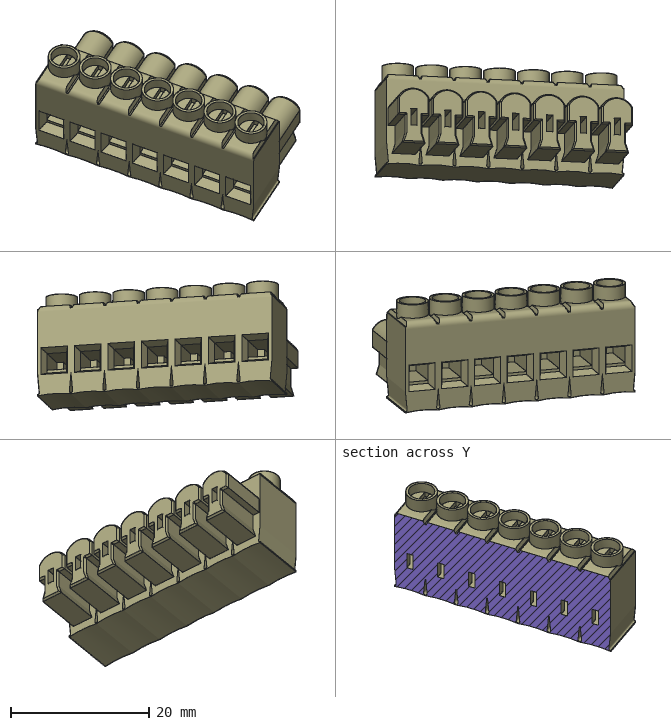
import cadquery as cq
import math

PITCH = 5.0
POLES = 7
LENGTH = POLES * PITCH
BODY_DEPTH = 8.5
BODY_TOP = 13.5
TOP_FILLET = 1.0

TOP_GROOVE_FLOOR = 12.87
TOP_GROOVE_FLOOR_HALF = 0.12
TOP_GROOVE_MOUTH_HALF = 0.4
SLIT_TOP = 3.15
SLIT_HALF = 0.25
LIP_TOP = 0.45
LIP_BOTTOM = LIP_TOP - SLIT_HALF
UNDERSIDE_ARCH = 0.2

SCREW_Y = BODY_DEPTH / 2
SCREW_TOP = 15.5
SCREW_DIA = 4.6
SCREW_BORE = 3.8
SCREW_HEAD_DIA = 3.65
SCREW_BORE_DEPTH = 1.5
SCREW_HEAD_Z = SCREW_TOP - SCREW_BORE_DEPTH
SCREW_SLOT_WIDTH = 0.8
SCREW_SLOT_LENGTH = SCREW_HEAD_DIA
SCREW_SLOT_DEPTH = 0.8

ENTRY_SIZE = 4.0
ENTRY_INSET = 0.55
ENTRY_THROAT = ENTRY_SIZE - 2 * ENTRY_INSET
ENTRY_DEPTH = 1.5
ENTRY_BOTTOM = SLIT_TOP
ENTRY_Z = ENTRY_BOTTOM + ENTRY_SIZE / 2
CLAMP_TOP = ENTRY_Z + ENTRY_THROAT / 2
CLAMP_BACK = 7.0
CLAMP_FLOOR = 4.13
CONTACT_SLOT_WIDTH = 0.93

PLUG_LENGTH = 7.5
PLUG_WIDTH = 4.6
PLUG_BOTTOM = 1.6
PLUG_TOP = 9.7
PLUG_SHOULDER = 8.27
PLUG_UNDERCUT = 5.73
PLUG_FLARE = 3.03
PLUG_NECK_INSET = 1.05
PLUG_KEEL_INSET = 0.6
PLUG_TIP_LENGTH = 0.35
PLUG_TIP_INSET = 0.2

CUT_MARGIN = 1.0


def pole_center(index):
    return (index + 0.5) * PITCH


def across_body(outline):
    """Extrude an XZ outline over the full depth of the body."""
    return outline.extrude(-BODY_DEPTH)


def body_block():
    block = cq.Workplane("XY").box(LENGTH, BODY_DEPTH, BODY_TOP, centered=False)
    return block.edges("|X and >Z").fillet(TOP_FILLET)


def top_groove(x):
    outline = (
        cq.Workplane("XZ")
        .moveTo(x - TOP_GROOVE_FLOOR_HALF, TOP_GROOVE_FLOOR)
        .lineTo(x + TOP_GROOVE_FLOOR_HALF, TOP_GROOVE_FLOOR)
        .lineTo(x + TOP_GROOVE_MOUTH_HALF, BODY_TOP)
        .lineTo(x - TOP_GROOVE_MOUTH_HALF, BODY_TOP)
        .close()
    )
    return across_body(outline)


def bottom_slit(x):
    """Narrow wedge between poles that closes again in a concave foot lip."""
    arc_offset = SLIT_HALF * (1 - math.sqrt(0.5))
    arc_height = LIP_BOTTOM + arc_offset
    arc_half = SLIT_HALF * math.sqrt(0.5)
    outline = (
        cq.Workplane("XZ")
        .moveTo(x, SLIT_TOP)
        .lineTo(x + SLIT_HALF, LIP_TOP)
        .threePointArc((x + arc_half, arc_height), (x, LIP_BOTTOM))
        .threePointArc((x - arc_half, arc_height), (x - SLIT_HALF, LIP_TOP))
        .close()
    )
    return across_body(outline)


def underside_arch(x):
    """Shallow arch under one pole, leaving a foot at each pole boundary."""
    outline = (
        cq.Workplane("XZ")
        .moveTo(x - PITCH / 2, 0)
        .threePointArc((x, UNDERSIDE_ARCH), (x + PITCH / 2, 0))
        .close()
    )
    return across_body(outline)


def wire_entry(x):
    """Funnel, clamp chamber behind it and contact slot through the plug."""
    funnel = (
        cq.Workplane("XZ", origin=(x, 0, ENTRY_Z))
        .rect(ENTRY_SIZE, ENTRY_SIZE)
        .workplane(offset=-ENTRY_DEPTH)
        .rect(ENTRY_THROAT, ENTRY_THROAT)
        .loft(combine=True)
    )
    opening_height = CLAMP_TOP - CLAMP_FLOOR
    opening_z = (CLAMP_TOP + CLAMP_FLOOR) / 2
    throat_plane = cq.Workplane("XZ", origin=(x, ENTRY_DEPTH, opening_z))
    chamber = throat_plane.rect(ENTRY_THROAT, opening_height).extrude(ENTRY_DEPTH - CLAMP_BACK)
    slot_length = BODY_DEPTH + PLUG_LENGTH - ENTRY_DEPTH + CUT_MARGIN
    slot = throat_plane.rect(CONTACT_SLOT_WIDTH, opening_height).extrude(-slot_length)
    return funnel.union(chamber).union(slot)


def plug_outline(x, y):
    half = PLUG_WIDTH / 2
    neck = half - PLUG_NECK_INSET
    keel = half - PLUG_KEEL_INSET
    return (
        cq.Workplane("XZ", origin=(x, y, 0))
        .moveTo(-half, PLUG_SHOULDER)
        .threePointArc((0, PLUG_TOP), (half, PLUG_SHOULDER))
        .lineTo(half, PLUG_UNDERCUT)
        .lineTo(neck, PLUG_UNDERCUT)
        .lineTo(neck, PLUG_FLARE)
        .lineTo(keel, PLUG_BOTTOM)
        .lineTo(-keel, PLUG_BOTTOM)
        .lineTo(-neck, PLUG_FLARE)
        .lineTo(-neck, PLUG_UNDERCUT)
        .lineTo(-half, PLUG_UNDERCUT)
        .close()
    )


def plug(x):
    shank_length = PLUG_LENGTH - PLUG_TIP_LENGTH
    tip_taper = math.degrees(math.atan2(PLUG_TIP_INSET, PLUG_TIP_LENGTH))
    shank = plug_outline(x, BODY_DEPTH).extrude(-shank_length)
    tip = plug_outline(x, BODY_DEPTH + shank_length).extrude(-PLUG_TIP_LENGTH, taper=tip_taper)
    return shank.union(tip)


def screw(x):
    """Screw head sunk in a collar that stands on the body top."""
    collar = (
        cq.Workplane("XY", origin=(x, SCREW_Y, TOP_GROOVE_FLOOR))
        .circle(SCREW_DIA / 2)
        .extrude(SCREW_TOP - TOP_GROOVE_FLOOR)
    )
    bore = (
        cq.Workplane("XY", origin=(x, SCREW_Y, SCREW_HEAD_Z))
        .circle(SCREW_HEAD_DIA / 2)
        .workplane(offset=SCREW_BORE_DEPTH)
        .circle(SCREW_BORE / 2)
        .loft(combine=True)
    )
    return collar.cut(bore)


def screw_slot(x):
    head_plane = cq.Workplane("XY", origin=(x, SCREW_Y, SCREW_HEAD_Z))
    return head_plane.rect(SCREW_SLOT_WIDTH, SCREW_SLOT_LENGTH).extrude(-SCREW_SLOT_DEPTH)


result = body_block()

for boundary in range(POLES + 1):
    result = result.cut(top_groove(boundary * PITCH))
    result = result.cut(bottom_slit(boundary * PITCH))

for pole in range(POLES):
    center = pole_center(pole)
    result = result.cut(underside_arch(center))
    result = result.union(plug(center))
    result = result.cut(wire_entry(center))
    result = result.union(screw(center))
    result = result.cut(screw_slot(center))